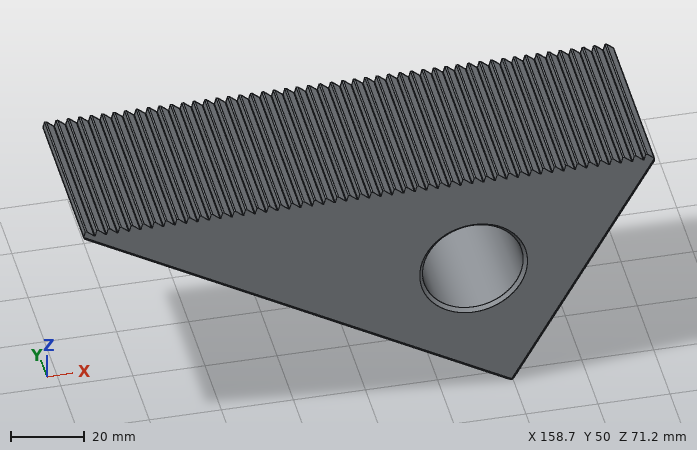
import cadquery as cq
import math

length = 158.7
width = 50.0
chamfer_size = 1.0

long_face_slope = math.tan(math.radians(30))
short_face_angle = math.radians(60)
short_face_slope = math.tan(short_face_angle)

tooth_count = 50
tooth_pitch = length / tooth_count
tooth_height = 1.7
crest_width = 0.5
root_width = 0.24
steep_flank_angle = math.radians(15)
steep_flank_run = tooth_height * math.tan(steep_flank_angle)
gentle_flank_run = tooth_pitch - crest_width - root_width - steep_flank_run
gentle_flank_slope = tooth_height / gentle_flank_run
first_crest_x = 0.5
last_crest_end = first_crest_x + (tooth_count - 1) * tooth_pitch + crest_width

left_corner_x = -chamfer_size * math.sin(steep_flank_angle)
left_corner_z = -(first_crest_x - left_corner_x) / math.tan(steep_flank_angle)
right_corner_x = length + chamfer_size * math.cos(short_face_angle)
right_corner_z = -(right_corner_x - last_crest_end) * gentle_flank_slope
bottom_corner_x = (
    left_corner_z - right_corner_z
    + left_corner_x * long_face_slope
    + right_corner_x * short_face_slope
) / (long_face_slope + short_face_slope)
bottom_corner_z = left_corner_z - (bottom_corner_x - left_corner_x) * long_face_slope

left_corner = (left_corner_x, left_corner_z)
right_corner = (right_corner_x, right_corner_z)
bottom_corner = (bottom_corner_x, bottom_corner_z)

hole_diameter = 28.0
hole_x = 108.2
hole_z = -30.8


def serrated_top():
    """Points along the teeth, from the first crest to the last."""
    points = []
    for index in range(tooth_count):
        crest_x = first_crest_x + index * tooth_pitch
        if index > 0:
            root_end_x = crest_x - steep_flank_run
            points.append((root_end_x - root_width, -tooth_height))
            points.append((root_end_x, -tooth_height))
        points.append((crest_x, 0))
        points.append((crest_x + crest_width, 0))
    return points


def midpoint(start, end):
    return ((start[0] + end[0]) / 2, (start[1] + end[1]) / 2)


def chamfer_edge_at(body, x, y, z):
    """Chamfer the single edge closest to a point."""
    nearest = cq.selectors.NearestToPointSelector((x, y, z))
    return body.edges(nearest).chamfer(chamfer_size)


def wedge():
    """Serrated prism with chamfered lower rims and chamfered corners."""
    outline = [left_corner] + serrated_top() + [right_corner, bottom_corner]
    body = cq.Workplane("XZ").polyline(outline).close().extrude(width / 2, both=True)

    for end_corner in (left_corner, right_corner):
        rim_x, rim_z = midpoint(end_corner, bottom_corner)
        for side in (-1, 1):
            body = chamfer_edge_at(body, rim_x, side * width / 2, rim_z)

    for corner_x, corner_z in (left_corner, right_corner, bottom_corner):
        body = chamfer_edge_at(body, corner_x, 0, corner_z)
    return body


def hole_cutter():
    """Cutter for the through hole, flared at both mouths."""
    radius = hole_diameter / 2
    mouth_radius = radius + chamfer_size
    half_width = width / 2
    profile = [
        (0, -half_width),
        (mouth_radius, -half_width),
        (radius, -half_width + chamfer_size),
        (radius, half_width - chamfer_size),
        (mouth_radius, half_width),
        (0, half_width),
    ]
    cutter = cq.Workplane("XY").polyline(profile).close().revolve(360, (0, 0), (0, 1))
    return cutter.translate((hole_x, 0, hole_z))


result = wedge().cut(hole_cutter())